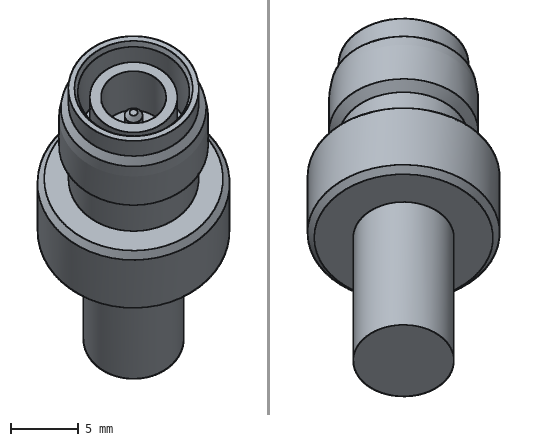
import cadquery as cq

total_height = 31.3
hub_bottom = 13.0
hub_top = 20.0
collar_bottom = 23.5
collar_top = 29.4
collar_taper_start = 27.8

stem_radius = 3.75
hub_radius = 7.15
hub_chamfer = 0.5
neck_radius = 4.85
collar_radius = 5.55
collar_taper_radius = 5.4
collar_bevel = collar_taper_radius - neck_radius
collar_undercut = collar_radius - neck_radius

mouth_radius = 4.4
bore_radius = 4.15
bore_floor_radius = 4.11
mouth_depth = 0.4
socket_depth = 6.0
socket_floor = total_height - socket_depth

sleeve_outer_radius = 3.25
sleeve_inner_radius = 2.42
sleeve_recess = 1.1
sleeve_top = total_height - sleeve_recess
pin_radius = 0.67
pin_tip_radius = 0.3
pin_recess = 3.0
pin_top = total_height - pin_recess
pin_tip_chamfer = pin_radius - pin_tip_radius


def cylinder(radius, bottom, top):
    """Solid cylinder on the Z axis between two heights."""
    return cq.Workplane("XY").workplane(offset=bottom).circle(radius).extrude(top - bottom)


def revolve_profile(points):
    """Solid of revolution about Z from (radius, height) points."""
    return cq.Workplane("XZ").polyline(points).close().revolve(360, (0, 0), (0, 1))


def make_body():
    """Stem, chamfered hub, neck and tapered collar as one turned body."""
    stem = cylinder(stem_radius, 0, hub_bottom)
    hub = cylinder(hub_radius, hub_bottom, hub_top).edges().chamfer(hub_chamfer)
    neck = cylinder(neck_radius, hub_top, total_height)
    collar = revolve_profile([
        (0, collar_bottom),
        (neck_radius, collar_bottom),
        (collar_radius, collar_bottom + collar_undercut),
        (collar_radius, collar_taper_start),
        (collar_taper_radius, collar_top - collar_bevel),
        (neck_radius, collar_top),
        (0, collar_top),
    ])
    return stem.union(hub).union(neck).union(collar)


def make_socket():
    """Volume removed from the top end: slightly tapered bore with a wider conical mouth."""
    return revolve_profile([
        (0, socket_floor),
        (bore_floor_radius, socket_floor),
        (bore_radius, total_height - mouth_depth),
        (mouth_radius, total_height),
        (0, total_height),
    ])


def make_sleeve():
    """Thin ring standing inside the socket."""
    outer = cylinder(sleeve_outer_radius, socket_floor, sleeve_top)
    return outer.cut(cylinder(sleeve_inner_radius, socket_floor, sleeve_top))


def make_pin():
    """Centre contact with a chamfered tip."""
    return cylinder(pin_radius, socket_floor, pin_top).faces(">Z").chamfer(pin_tip_chamfer)


result = make_body().cut(make_socket()).union(make_sleeve()).union(make_pin())